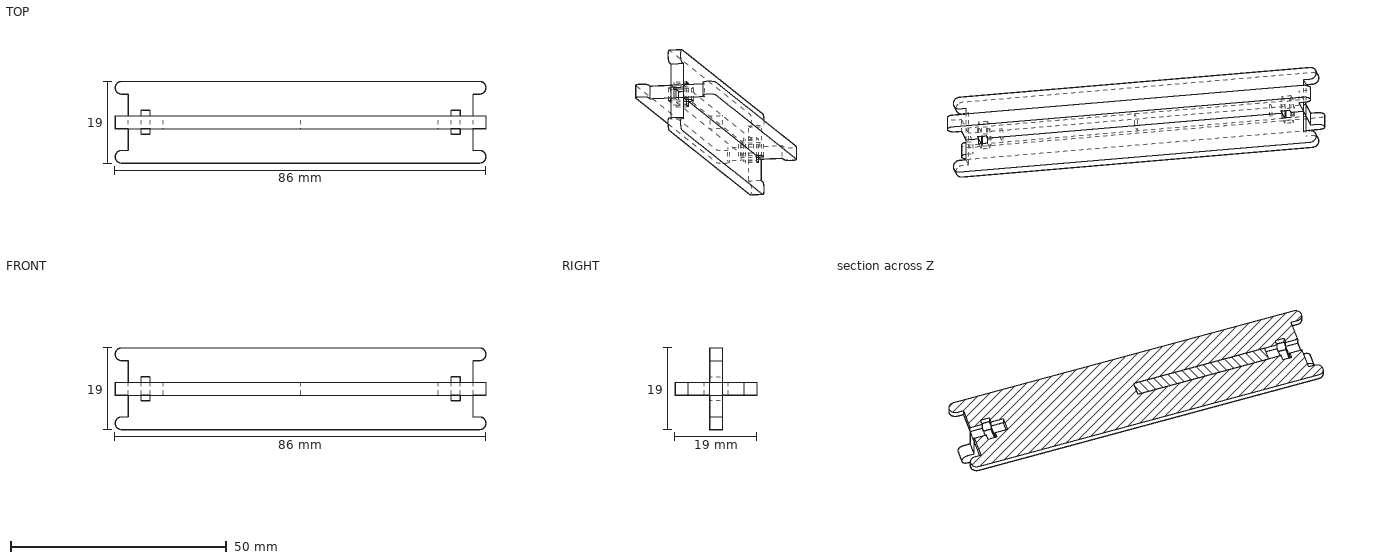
import cadquery as cq

length = 86.0
plate_width = 19.0
thickness = 3.0
lug_reach = 3.0
lug_height = 3.0
window_width = 2.1
window_height = 5.5
window_inset = 3.0

body_end = length / 2 - lug_reach
rail_offset = (plate_width - lug_height) / 2
window_outer = body_end - window_inset
window_inner = window_outer - window_width
window_center = (window_outer + window_inner) / 2
core_end = window_inner - thickness


def box_between(x_start, x_end, height):
    """Block as thick as a plate, centred across the plate."""
    return (
        cq.Workplane("XY")
        .box(x_end - x_start, height, thickness)
        .translate(((x_start + x_end) / 2, 0, 0))
    )


def slotted_plate():
    """Plate in the XY plane, slotted along its core from the -X end to the middle."""
    plate = box_between(-body_end, body_end, plate_width)

    for side in (-1, 1):
        rail = (
            cq.Workplane("XY")
            .workplane(offset=-thickness / 2)
            .center(0, side * rail_offset)
            .slot2D(length, lug_height)
            .extrude(thickness)
        )
        plate = plate.union(rail)

    for side in (-1, 1):
        center = side * window_center
        window = box_between(center - window_width / 2, center + window_width / 2, window_height)
        plate = plate.cut(window)

    plate = plate.cut(box_between(-body_end, 0, thickness))
    return plate.cut(box_between(core_end, body_end, thickness))


horizontal_plate = slotted_plate()

upright_plate = (
    slotted_plate()
    .rotate((0, 0, 0), (0, 0, 1), 180)
    .rotate((0, 0, 0), (1, 0, 0), 90)
)

result = cq.Compound.makeCompound([horizontal_plate.val(), upright_plate.val()])